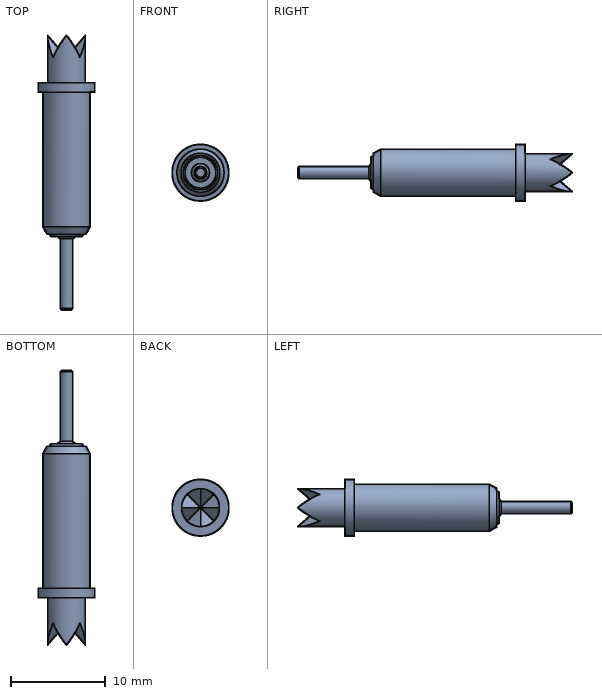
import cadquery as cq
import math

total_length = 29.0
collar_start = 5.0
collar_end = 6.0
body_taper_start = 20.2
body_end = 21.0
plug_end = 21.25
wire_root_end = 21.5

crown_radius = 2.0
collar_diameter = 6.0
collar_radius = collar_diameter / 2
body_radius = 2.5
body_end_radius = 2.05
plug_radius = 1.83
plug_face_radius = 1.62
wire_root_radius = 0.95
wire_radius = 0.67
wire_chamfer = 0.17

groove_depth = 2.32
groove_angles = (45, 135)
tip_y = total_length / 2


def turned_pin():
    """Revolve the stepped half profile about the Y axis."""
    radius_and_station = [
        (0, 0),
        (crown_radius, 0),
        (crown_radius, collar_start),
        (collar_radius, collar_start),
        (collar_radius, collar_end),
        (body_radius, collar_end),
        (body_radius, body_taper_start),
        (body_end_radius, body_end),
        (plug_radius, body_end),
        (plug_face_radius, plug_end),
        (wire_root_radius, plug_end),
        (wire_radius, wire_root_end),
        (wire_radius, total_length - wire_chamfer),
        (wire_radius - wire_chamfer, total_length),
        (0, total_length),
    ]
    outline = [(radius, tip_y - station) for radius, station in radius_and_station]
    return cq.Workplane("XY").polyline(outline).close().revolve(360, (0, 0), (0, 1))


def crown_groove(angle):
    """V-groove across the crown, turned by angle about the Y axis.

    The tooth tips lie at 45 degrees to each groove, so the groove is as wide
    as the tips are apart across it and its flanks end exactly on the tips.
    """
    half_width = crown_radius * math.sin(math.radians(45))
    groove = (
        cq.Workplane("XY")
        .polyline([(-half_width, tip_y), (0, tip_y - groove_depth), (half_width, tip_y)])
        .close()
        .extrude(2 * crown_radius, both=True)
    )
    return groove.rotate((0, 0, 0), (0, 1, 0), angle)


result = turned_pin()
for groove_angle in groove_angles:
    result = result.cut(crown_groove(groove_angle))